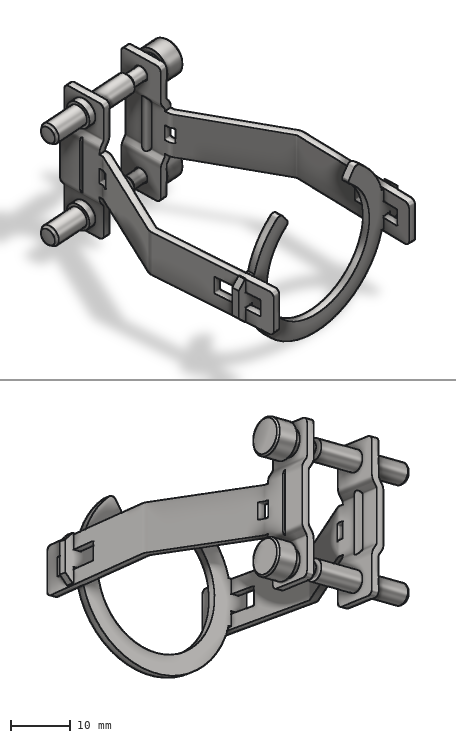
import cadquery as cq
import math


sheet = 1.5
plate_width = 9.0
plate_height = 28.6
corner_radius = 1.0
bend_radius = 0.8

lug_outer_y = 7.8
joggle_offset = 1.1
joggle_angle = 35.0
middle_outer_y = lug_outer_y + joggle_offset
middle_half_height = 5.45

bead_x = 4.8
bead_width = 2.25
bead_rise = 0.5
bead_half_length = 6.25
bead_groove_radius = 0.3

arm_width = 9.0
arm_knee_x = 9.8
arm_elbow_x = 29.55
arm_end_x = 56.7
arm_out_angle = 27.0
arm_back_angle = 2.8
knee_window_start = 8.95
knee_window_length = 2.05
knee_window_height = 3.1
slot_start = 43.75
slot_length = 10.1
slot_height = 3.5
opening_corner_radius = 0.2

screw_x = plate_width / 2
screw_z = 10.8
pin_diameter = 2.7
pin_hole_diameter = 3.0
pin_end_y = 3.25
shoulder_diameter = 5.2
head_diameter = 7.0
head_start_y = 9.2
head_end_y = 13.3
head_chamfer = 0.35
sleeve_diameter = 4.0
sleeve_tip_diameter = 3.25
sleeve_inner_y = -2.6
sleeve_tip_y = 16.85
sleeve_tip_length = 0.55
flange_end_y = 9.3

saddle_x = 49.25
saddle_z = 0.2
saddle_outer_radius = 16.45
saddle_inner_radius = 12.75
saddle_end_angle = 55.0
saddle_end_outer_radius = 1.0
saddle_end_inner_radius = 0.7
saddle_width = 39.65
tab_tip_y = saddle_width / 2
tab_height = 9.1
tab_chamfer = 1.6
shoulder_height = 8.5
shoulder_end_y = 16.4
neck_height = 3.05
neck_end_y = 18.05


def bent_sheet(plane, face_points, width):
    """Sheet bent along face_points, thickened to the left of travel, centred on the plane."""
    directions = []
    for (x0, y0), (x1, y1) in zip(face_points, face_points[1:]):
        directions.append(math.atan2(y1 - y0, x1 - x0))
    turns = [0.0]
    for before, after in zip(directions, directions[1:]):
        turns.append(math.remainder(after - before, 2 * math.pi))
    turns.append(0.0)

    offset_points = []
    for (x, y), direction, turn in zip(face_points, directions[:1] + directions, turns):
        mitre = sheet / math.cos(turn / 2)
        normal = direction + turn / 2 + math.pi / 2
        offset_points.append((x + mitre * math.cos(normal), y + mitre * math.sin(normal)))

    workplane = cq.Workplane(plane)
    body = workplane.polyline(face_points + offset_points[::-1]).close().extrude(width / 2, both=True)
    for i in range(1, len(face_points) - 1):
        concave, convex = (offset_points, face_points) if turns[i] > 0 else (face_points, offset_points)
        for corner, radius in ((concave[i], bend_radius), (convex[i], bend_radius + sheet)):
            position = workplane.plane.toWorldCoords(corner).toTuple()
            body = body.edges(cq.selectors.NearestToPointSelector(position)).fillet(radius)
    return body


def clamp_plate():
    run = joggle_offset / math.tan(math.radians(joggle_angle))
    lug_start = middle_half_height + run
    outer_face = [
        (lug_outer_y, -plate_height / 2),
        (lug_outer_y, -lug_start),
        (middle_outer_y, -middle_half_height),
        (middle_outer_y, middle_half_height),
        (lug_outer_y, lug_start),
        (lug_outer_y, plate_height / 2),
    ]
    mid_plane = cq.Plane(origin=(plate_width / 2, 0, 0), xDir=(0, 1, 0), normal=(1, 0, 0))
    plate = bent_sheet(mid_plane, outer_face, plate_width)
    return plate.edges("|Y and (>Z or <Z)").fillet(corner_radius)


def arm():
    out_slope = math.tan(math.radians(arm_out_angle))
    back_slope = math.tan(math.radians(arm_back_angle))
    elbow_y = middle_outer_y + (arm_elbow_x - arm_knee_x) * out_slope
    end_y = elbow_y - (arm_end_x - arm_elbow_x) * back_slope
    outer_face = [
        (arm_end_x, end_y),
        (arm_elbow_x, elbow_y),
        (arm_knee_x, middle_outer_y),
        (plate_width / 2, middle_outer_y),
    ]
    body = bent_sheet("XY", outer_face, arm_width)
    end_face = body.faces(">X")
    return end_face.edges(">Z or <Z").fillet(corner_radius)


def arm_opening(start, length, height):
    """Cutter for a rectangular opening across the whole of the arm's reach in Y."""
    centre = (start + length / 2, tab_tip_y / 2, 0)
    cutter = cq.Workplane("XY").box(length, tab_tip_y, height)
    return cutter.edges("|Y").fillet(opening_corner_radius).translate(centre)


def bead():
    """Round-backed rib standing on the inner face of the middle."""
    inner_y = middle_outer_y - sheet
    return (
        cq.Workplane("XY", origin=(bead_x, inner_y, 0))
        .moveTo(-bead_width / 2, 0)
        .threePointArc((0, -bead_rise), (bead_width / 2, 0))
        .close()
        .extrude(bead_half_length, both=True)
    )


def bead_groove():
    return (
        cq.Workplane("XY")
        .center(bead_x, middle_outer_y)
        .circle(bead_groove_radius)
        .extrude(bead_half_length, both=True)
    )


def strap():
    """Plain strap on the +Y side."""
    body = clamp_plate().union(arm()).union(bead()).cut(bead_groove())
    body = body.cut(arm_opening(knee_window_start, knee_window_length, knee_window_height))
    return body.cut(arm_opening(slot_start, slot_length, slot_height))


def rod(diameter, start_y, end_y, z):
    """Cylinder along +Y on a screw axis."""
    base = cq.Workplane("XZ", origin=(screw_x, start_y, z))
    return base.circle(diameter / 2).extrude(start_y - end_y)


def screw(z):
    head = rod(head_diameter, head_start_y, head_end_y, z).faces(">Y").chamfer(head_chamfer)
    shoulder = rod(shoulder_diameter, lug_outer_y, head_start_y, z)
    pin = rod(pin_diameter, pin_end_y, lug_outer_y, z)
    return head.union(shoulder).union(pin)


def threaded_sleeve(z):
    """Flanged sleeve on the +Y side, for a strap that is mirrored to -Y afterwards."""
    tip_step = (sleeve_diameter - sleeve_tip_diameter) / 2
    barrel = rod(sleeve_diameter, sleeve_inner_y, sleeve_tip_y, z)
    barrel = barrel.faces(">Y").edges().chamfer(sleeve_tip_length, tip_step)
    return barrel.union(rod(shoulder_diameter, lug_outer_y, flange_end_y, z))


def screw_strap():
    """The +Y strap, with a clearance hole for each screw pin."""
    body = strap()
    for z in (-screw_z, screw_z):
        body = body.cut(rod(pin_hole_diameter, 0, lug_outer_y, z))
    return body


def sleeve_strap():
    """The -Y strap, carrying both threaded sleeves as one piece."""
    body = strap()
    for z in (-screw_z, screw_z):
        body = body.union(threaded_sleeve(z))
    return body.mirror("XZ")


def saddle_block(y_size, z_size):
    """Block as thick as the saddle, centred on its axis."""
    return cq.Workplane("YZ").rect(y_size, z_size).extrude(sheet)


def saddle():
    tab_ends = saddle_block(2 * tab_tip_y, tab_height).edges("|X").chamfer(tab_chamfer)
    tab_ends = tab_ends.cut(saddle_block(2 * neck_end_y, tab_height))
    shoulders = saddle_block(2 * shoulder_end_y, shoulder_height)
    necks = saddle_block(2 * neck_end_y, neck_height)

    disc = cq.Workplane("YZ").circle(saddle_outer_radius).extrude(sheet)
    bore = cq.Workplane("YZ").circle(saddle_inner_radius).extrude(sheet)
    end_angle = math.radians(saddle_end_angle)
    mouth_height = 2 * saddle_outer_radius
    mouth_half_width = mouth_height / math.tan(end_angle)
    mouth = (
        cq.Workplane("YZ")
        .polyline([(0, 0), (mouth_half_width, mouth_height), (-mouth_half_width, mouth_height)])
        .close()
        .extrude(sheet)
    )
    ring = disc.union(shoulders).union(necks).union(tab_ends).cut(bore).cut(mouth)

    corners = (
        (saddle_outer_radius, saddle_end_outer_radius),
        (saddle_inner_radius, saddle_end_inner_radius),
    )
    for side in (-1, 1):
        for distance, radius in corners:
            corner = (sheet / 2, side * distance * math.cos(end_angle), distance * math.sin(end_angle))
            ring = ring.edges(cq.selectors.NearestToPointSelector(corner)).fillet(radius)
    return ring.translate((saddle_x, 0, saddle_z))


screws = [screw(z).val() for z in (-screw_z, screw_z)]
result = cq.Compound.makeCompound([screw_strap().val(), sleeve_strap().val(), saddle().val(), *screws])